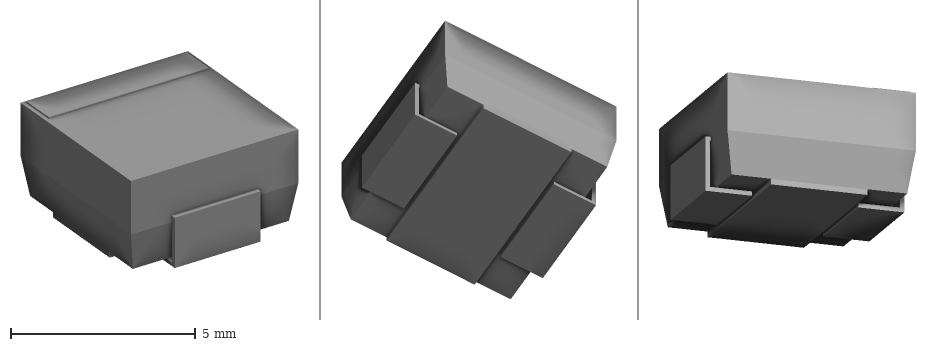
import cadquery as cq

overall_length = 5.74
overall_height = 3.05

housing_side = 5.44
housing_bottom_side = 5.075
parting_height = 1.35
foot_height = 0.16
foot_width = 2.79

mark_thickness = 0.05
mark_width = 1.085
mark_inset = 0.12
housing_top = overall_height - mark_thickness

lead_thickness = 0.125
lead_height = 1.55
lead_foot_length = 1.33
lead_width = foot_width


def make_housing():
    upper = (
        cq.Workplane("XY", origin=(0, 0, parting_height))
        .rect(housing_side, housing_side)
        .extrude(housing_top - parting_height)
    )
    lower = (
        cq.Workplane("XY", origin=(0, 0, foot_height))
        .rect(housing_bottom_side, housing_bottom_side)
        .workplane(offset=parting_height - foot_height)
        .rect(housing_side, housing_side)
        .loft(ruled=True)
    )
    foot = cq.Workplane("XY").rect(foot_width, housing_bottom_side).extrude(foot_height)
    return upper.union(lower).union(foot)


def make_polarity_mark():
    mark_length = housing_side - 2 * mark_inset
    mark_center_x = -housing_side / 2 + mark_inset + mark_width / 2
    return (
        cq.Workplane("XY", origin=(mark_center_x, 0, housing_top))
        .rect(mark_width, mark_length)
        .extrude(mark_thickness)
    )


def make_lead(side):
    """C-shaped lead whose top tab meets the housing wall; side is -1 or +1 along X."""
    outer_x = side * overall_length / 2
    inner_x = side * (overall_length / 2 - lead_thickness)
    tab_end_x = side * housing_side / 2
    foot_end_x = side * (overall_length / 2 - lead_foot_length)
    tab_bottom = lead_height - lead_thickness
    profile = [
        (foot_end_x, 0),
        (outer_x, 0),
        (outer_x, lead_height),
        (tab_end_x, lead_height),
        (tab_end_x, tab_bottom),
        (inner_x, tab_bottom),
        (inner_x, lead_thickness),
        (foot_end_x, lead_thickness),
    ]
    return cq.Workplane("XZ").polyline(profile).close().extrude(lead_width / 2, both=True)


housing = make_housing()
polarity_mark = make_polarity_mark()
leads = [make_lead(side) for side in (-1, 1)]

result = cq.Compound.makeCompound(
    [housing.val(), polarity_mark.val(), *[lead.val() for lead in leads]]
)